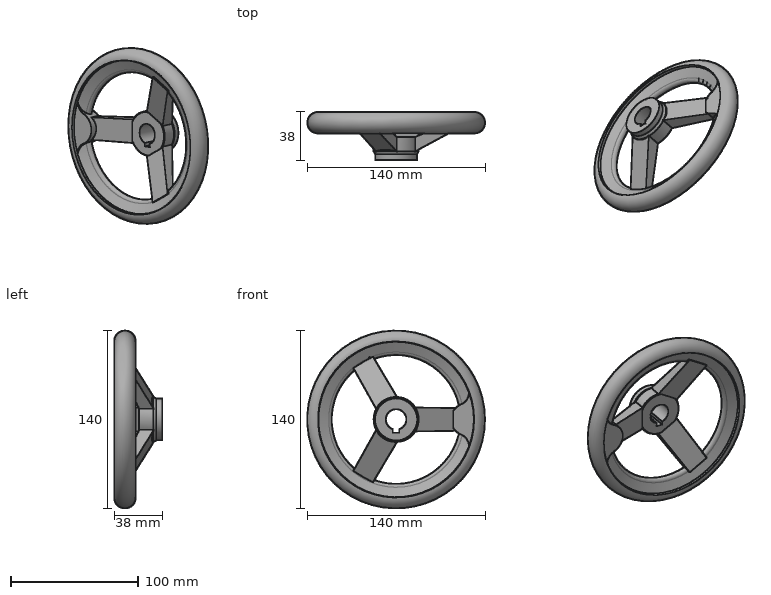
import cadquery as cq
import math


OUTER_RADIUS = 70.0
RIM_DEPTH = 17.1
LIP_DEPTH = 2.1
LIP_RADIUS = 61.0
DISH_RADIUS = 53.2
DISH_DEPTH = 5.6
INNER_RADIUS = 50.5
TUBE_RADIUS = RIM_DEPTH / 2
CREST_RADIUS = OUTER_RADIUS - TUBE_RADIUS

HUB_FRONT = -20.9
HUB_BACK = -2.2
COLLAR_RADIUS = 16.5
COLLAR_LENGTH = 4.6
FLARE_LENGTH = 2.5
HUB_RADIUS = 17.8
HUB_CHAMFER = 0.5
BORE_RADIUS = 8.0
KEYWAY_WIDTH = 4.9
KEYWAY_REACH = 10.4

SPOKE_COUNT = 3
SPOKE_HALF_WIDTH_AT_HUB = 9.5
SPOKE_HALF_WIDTH_AT_RIM = 9.0
SPOKE_START = 12.6
SPOKE_END = 52.9
SPOKE_FRONT_CROSSING = 41.1
SPOKE_FRONT_SLOPE = 0.54
SPOKE_BACK_CROSSING = 21.1
SPOKE_BACK_SLOPE = 0.41

BOSS_RADIUS = 12.9
BOSS_CENTER = 56.0
BOSS_FILLET = 9.5


def rim_envelope():
    """Solid disc with the rounded outer edge of the rim."""
    return (
        cq.Workplane("XY")
        .lineTo(CREST_RADIUS, 0)
        .threePointArc((OUTER_RADIUS, TUBE_RADIUS), (CREST_RADIUS, RIM_DEPTH))
        .lineTo(0, RIM_DEPTH)
        .close()
        .revolve(360, (0, 0, 0), (0, 1, 0))
    )


def rim_opening():
    """Space inside the rim: lip, conical dish and rounded nose, the same at front and back."""
    middle = RIM_DEPTH / 2
    return (
        cq.Workplane("XY")
        .lineTo(CREST_RADIUS, 0)
        .lineTo(LIP_RADIUS, LIP_DEPTH)
        .lineTo(DISH_RADIUS, DISH_DEPTH)
        .threePointArc((INNER_RADIUS, middle), (DISH_RADIUS, RIM_DEPTH - DISH_DEPTH))
        .lineTo(LIP_RADIUS, RIM_DEPTH - LIP_DEPTH)
        .lineTo(CREST_RADIUS, RIM_DEPTH)
        .lineTo(0, RIM_DEPTH)
        .close()
        .revolve(360, (0, 0, 0), (0, 1, 0))
    )


def hub():
    """Hub barrel flaring out behind a narrower front collar."""
    collar_back = HUB_FRONT + COLLAR_LENGTH
    return (
        cq.Workplane("XY")
        .moveTo(0, HUB_FRONT)
        .lineTo(COLLAR_RADIUS, HUB_FRONT)
        .lineTo(COLLAR_RADIUS, collar_back)
        .lineTo(HUB_RADIUS, collar_back + FLARE_LENGTH)
        .lineTo(HUB_RADIUS, HUB_BACK - HUB_CHAMFER)
        .lineTo(HUB_RADIUS - HUB_CHAMFER, HUB_BACK)
        .lineTo(0, HUB_BACK)
        .close()
        .revolve(360, (0, 0, 0), (0, 1, 0))
    )


def spoke():
    """Spoke along +X, leaning back from the hub to the rim and narrowing outward."""
    def front(radius):
        return (radius - SPOKE_FRONT_CROSSING) * SPOKE_FRONT_SLOPE

    def back(radius):
        return (radius - SPOKE_BACK_CROSSING) * SPOKE_BACK_SLOPE

    side_profile = (
        cq.Workplane("XY")
        .polyline([
            (SPOKE_START, front(SPOKE_START)),
            (SPOKE_END, front(SPOKE_END)),
            (SPOKE_END, back(SPOKE_END)),
            (SPOKE_START, back(SPOKE_START)),
        ])
        .close()
        .extrude(SPOKE_HALF_WIDTH_AT_HUB, both=True)
    )
    plan = (
        cq.Workplane("XZ")
        .polyline([
            (SPOKE_START, -SPOKE_HALF_WIDTH_AT_HUB),
            (SPOKE_END, -SPOKE_HALF_WIDTH_AT_RIM),
            (SPOKE_END, SPOKE_HALF_WIDTH_AT_RIM),
            (SPOKE_START, SPOKE_HALF_WIDTH_AT_HUB),
        ])
        .close()
        .extrude(OUTER_RADIUS, both=True)
    )
    return side_profile.intersect(plan)


def handle_boss():
    """Round boss filling the rim section, blended into the rim by a fillet on each side."""
    fillet_distance = BOSS_RADIUS + BOSS_FILLET
    center_radius = CREST_RADIUS - BOSS_FILLET
    fillet_x = (center_radius**2 - fillet_distance**2 + BOSS_CENTER**2) / (2 * BOSS_CENTER)
    fillet_z = math.sqrt(center_radius**2 - fillet_x**2)
    touch = BOSS_RADIUS / fillet_distance
    touch_x = BOSS_CENTER + (fillet_x - BOSS_CENTER) * touch
    touch_z = fillet_z * touch
    reach = CREST_RADIUS / center_radius
    lip_x = fillet_x * reach
    lip_z = fillet_z * reach
    middle_x = (touch_x + lip_x) / 2 - fillet_x
    middle_z = (touch_z + lip_z) / 2 - fillet_z
    scale = BOSS_FILLET / math.hypot(middle_x, middle_z)
    middle_x = fillet_x + middle_x * scale
    middle_z = fillet_z + middle_z * scale
    outline = (
        cq.Workplane("XZ", origin=(0, LIP_DEPTH, 0))
        .moveTo(lip_x, lip_z)
        .threePointArc((middle_x, middle_z), (touch_x, touch_z))
        .threePointArc((BOSS_CENTER - BOSS_RADIUS, 0), (touch_x, -touch_z))
        .threePointArc((middle_x, -middle_z), (lip_x, -lip_z))
        .threePointArc((CREST_RADIUS, 0), (lip_x, lip_z))
        .close()
    )
    return outline.extrude(-(RIM_DEPTH - 2 * LIP_DEPTH))


def bore():
    """Through bore with a keyway on the -Z side."""
    hub_length = HUB_BACK - HUB_FRONT
    front_face = cq.Workplane("XZ", origin=(0, HUB_FRONT, 0))
    hole = front_face.circle(BORE_RADIUS).extrude(-hub_length)
    keyway = (
        front_face.center(0, -KEYWAY_REACH / 2)
        .rect(KEYWAY_WIDTH, KEYWAY_REACH)
        .extrude(-hub_length)
    )
    return hole.union(keyway)


wheel = rim_envelope().cut(rim_opening()).union(hub())
for index in range(SPOKE_COUNT):
    angle = index * 360 / SPOKE_COUNT
    wheel = wheel.union(spoke().rotate((0, 0, 0), (0, 1, 0), angle))
result = wheel.union(handle_boss()).cut(bore())